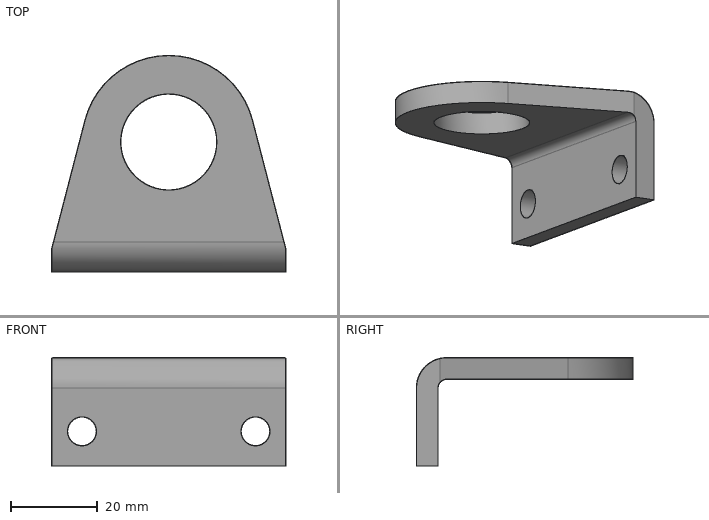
import cadquery as cq
import math

width = 54.0
depth = 50.0
height = 25.0
thickness = 5.0
outer_bend_radius = 7.0
inner_bend_radius = outer_bend_radius - thickness

eye_radius = 20.0
eye_hole_diameter = 22.1
eye_y = depth - eye_radius
taper_start_y = 5.45

mount_hole_diameter = 6.6
mount_hole_spacing = 40.0
mount_hole_z = 8.0


def bent_strip():
    """Full-width L-shaped strip with a concentric bend."""
    profile = (
        cq.Workplane("YZ")
        .polyline([
            (0, 0),
            (thickness, 0),
            (thickness, height - thickness),
            (depth, height - thickness),
            (depth, height),
            (0, height),
        ])
        .close()
    )
    strip = profile.extrude(width / 2, both=True)
    strip = strip.edges(cq.NearestToPointSelector((0, 0, height))).fillet(outer_bend_radius)
    inner_corner = (0, thickness, height - thickness)
    return strip.edges(cq.NearestToPointSelector(inner_corner)).fillet(inner_bend_radius)


def plan_outline():
    """Straight-sided base tapering along tangents into the round eye."""
    half_width = width / 2
    corner_drop = eye_y - taper_start_y
    corner_distance = math.hypot(half_width, corner_drop)
    tangent_angle = math.acos(eye_radius / corner_distance) - math.atan2(corner_drop, half_width)
    tangent_x = eye_radius * math.cos(tangent_angle)
    tangent_y = eye_y + eye_radius * math.sin(tangent_angle)
    return (
        cq.Workplane("XY")
        .moveTo(-half_width, 0)
        .lineTo(half_width, 0)
        .lineTo(half_width, taper_start_y)
        .lineTo(tangent_x, tangent_y)
        .threePointArc((0, depth), (-tangent_x, tangent_y))
        .lineTo(-half_width, taper_start_y)
        .close()
        .extrude(height)
    )


def eye_hole():
    return cq.Workplane("XY").center(0, eye_y).circle(eye_hole_diameter / 2).extrude(height)


def mount_holes():
    half_spacing = mount_hole_spacing / 2
    return (
        cq.Workplane("XZ")
        .pushPoints([(side * half_spacing, mount_hole_z) for side in (-1, 1)])
        .circle(mount_hole_diameter / 2)
        .extrude(-thickness)
    )


result = bent_strip().intersect(plan_outline()).cut(eye_hole()).cut(mount_holes())